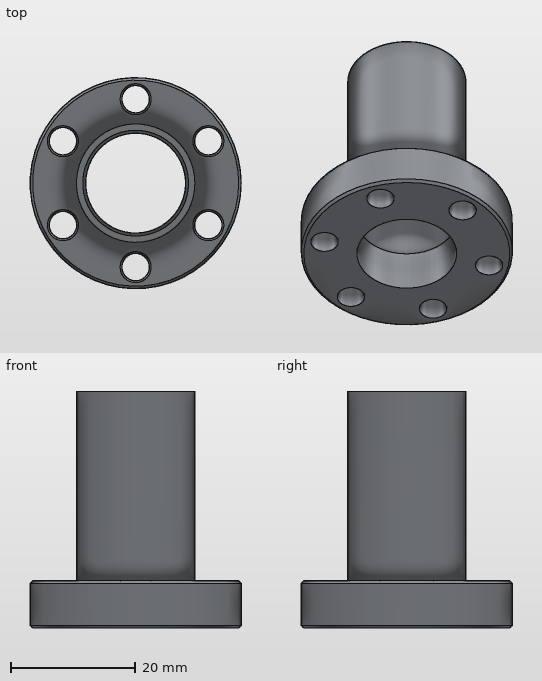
import cadquery as cq

TOTAL_HEIGHT = 38.1

FLANGE_DIAMETER = 34.0
FLANGE_THICKNESS = 7.62
FLANGE_CHAMFER = 0.42
BORE_DIAMETER = 16.05

BOLT_COUNT = 6
BOLT_CIRCLE_DIAMETER = 27.0
BOLT_HOLE_DIAMETER = 4.4
BOLT_HOLE_CHAMFER = 0.3
COUNTERSINK_ANGLE = 90.0
FIRST_BOLT_ANGLE = 90.0

TUBE_OUTER_DIAMETER = 19.05
TUBE_INNER_DIAMETER = 17.03
TUBE_LENGTH = TOTAL_HEIGHT - FLANGE_THICKNESS


def make_flange():
    """Chamfered disc with a central bore and a ring of chamfered bolt holes."""
    disc = cq.Workplane("XY").circle(FLANGE_DIAMETER / 2).extrude(FLANGE_THICKNESS)
    disc = disc.faces("<Z or >Z").edges().chamfer(FLANGE_CHAMFER)
    drilled = disc.faces(">Z").workplane().hole(BORE_DIAMETER)

    return (
        drilled.faces(">Z")
        .workplane()
        .polarArray(BOLT_CIRCLE_DIAMETER / 2, FIRST_BOLT_ANGLE, 360, BOLT_COUNT)
        .cskHole(BOLT_HOLE_DIAMETER, BOLT_HOLE_DIAMETER + 2 * BOLT_HOLE_CHAMFER, COUNTERSINK_ANGLE)
    )


def make_tube():
    """Plain tube resting concentrically on the flange."""
    return (
        cq.Workplane("XY", origin=(0, 0, FLANGE_THICKNESS))
        .circle(TUBE_OUTER_DIAMETER / 2)
        .circle(TUBE_INNER_DIAMETER / 2)
        .extrude(TUBE_LENGTH)
    )


flange = make_flange()
tube = make_tube()

result = cq.Compound.makeCompound([flange.val(), tube.val()])